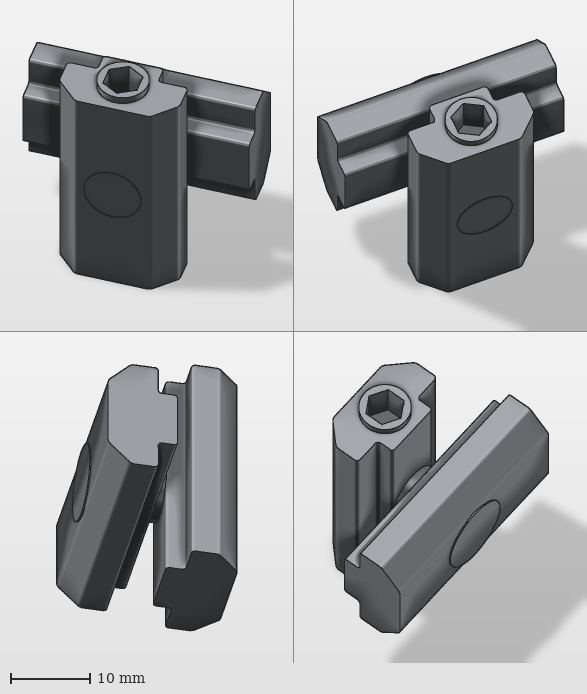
import cadquery as cq
import math

bar_length = 30.0
bar_width = 16.0
bar_depth = 9.0
flange_depth = 6.5
neck_width = 8.0
bevel = 3.0
bevel_round = 1.0
edge_round = 0.5

overall_height = 31
overall_depth = 19.13
bar_gap = 1.0
pin_diameter = 7.55
pin_recess = 0.1
pin_head_diameter = 10.0

screw_diameter = 6.63
screw_projection = overall_height - bar_length
screw_setback = 4.5
socket_across_flats = 4.5
socket_depth = 5.0
socket_sides = 6
socket_turn = 90

pair_depth = 2 * bar_depth + bar_gap


def edges_between(y_start, y_end):
    """Selector for edges centred between two Y positions."""
    return cq.selectors.BoxSelector((-bar_width, y_start, -bar_length), (bar_width, y_end, bar_length))


def upright_bar():
    """Vertical bar with its bevelled face at Y = 0 and its neck toward +Y."""
    half_width = bar_width / 2
    half_neck = neck_width / 2
    right_side = [
        (half_width - bevel, 0),
        (half_width, bevel),
        (half_width, flange_depth),
        (half_neck, flange_depth),
        (half_neck, bar_depth),
    ]
    left_side = [(-x, y) for x, y in reversed(right_side)]
    bar = (
        cq.Workplane("XY")
        .workplane(offset=-bar_length / 2)
        .polyline(right_side + left_side)
        .close()
        .extrude(bar_length)
    )
    mid_flange = (bevel + flange_depth) / 2
    bar = bar.edges("|Z").edges(edges_between(-bar_depth, mid_flange)).fillet(bevel_round)
    return bar.edges("|Z").edges(edges_between(mid_flange, 2 * bar_depth)).fillet(edge_round)


def cross_bar():
    """Same bar laid along X behind the upright one, neck facing it."""
    return (
        upright_bar()
        .rotate((0, 0, 0), (0, 1, 0), 90)
        .rotate((0, 0, 0), (1, 0, 0), 180)
        .translate((0, pair_depth, 0))
    )


def cylinder_along_y(diameter, start, end):
    """Solid round on the pivot axis between two Y positions."""
    return cq.Workplane("XZ", origin=(0, start, 0)).circle(diameter / 2).extrude(start - end)


def add_set_screw(body):
    """Screw standing out of the upright bar's top end, with a hex socket."""
    bar_top = cq.Workplane("XY", origin=(0, screw_setback, bar_length / 2))
    screw = bar_top.circle(screw_diameter / 2).extrude(screw_projection)
    across_corners = socket_across_flats / math.cos(math.pi / socket_sides)
    socket = (
        bar_top.workplane(offset=screw_projection)
        .transformed(rotate=(0, 0, socket_turn))
        .polygon(socket_sides, across_corners)
        .extrude(-socket_depth)
    )
    return body.union(screw).cut(socket)


pin = cylinder_along_y(pin_diameter, pin_recess, pair_depth)
pin_head = cylinder_along_y(pin_head_diameter, pair_depth - bevel, overall_depth)
pin_recess_pocket = cylinder_along_y(pin_diameter, 0, pin_recess)

body = upright_bar().union(cross_bar()).union(pin).union(pin_head).cut(pin_recess_pocket)
result = add_set_screw(body)